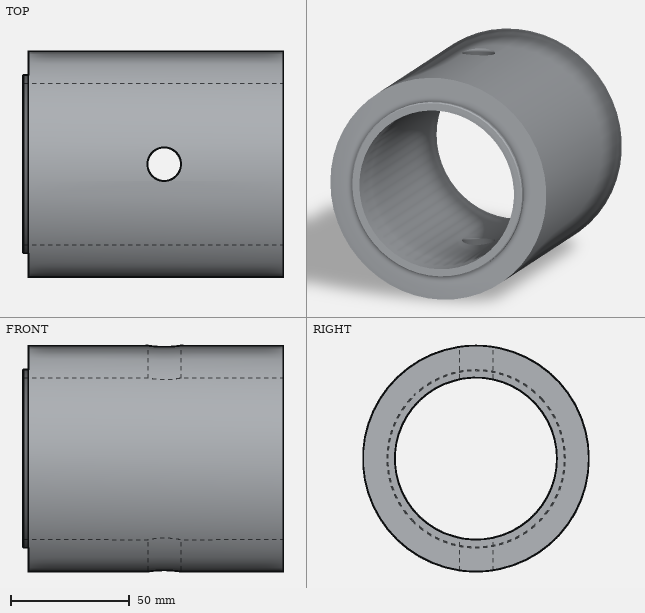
import cadquery as cq

total_length = 109.5
outer_diameter = 95.0
bore_diameter = 68.0
lip_diameter = 75.0
lip_length = 2.4
lip_chamfer = 0.4
cross_hole_diameter = 14.0
cross_hole_from_lip = 59.5

body_length = total_length - lip_length
lip_face_x = -total_length / 2
shoulder_x = lip_face_x + lip_length

body = cq.Workplane("YZ", origin=(shoulder_x, 0, 0)).circle(outer_diameter / 2).extrude(body_length)

lip = (
    cq.Workplane("YZ", origin=(lip_face_x, 0, 0))
    .circle(lip_diameter / 2)
    .extrude(lip_length)
    .faces("<X")
    .chamfer(lip_chamfer)
)

bore = cq.Workplane("YZ", origin=(lip_face_x, 0, 0)).circle(bore_diameter / 2).extrude(total_length)

cross_hole = (
    cq.Workplane("XY", origin=(lip_face_x + cross_hole_from_lip, 0, 0))
    .circle(cross_hole_diameter / 2)
    .extrude(outer_diameter / 2, both=True)
)

result = body.union(lip).cut(bore).cut(cross_hole)